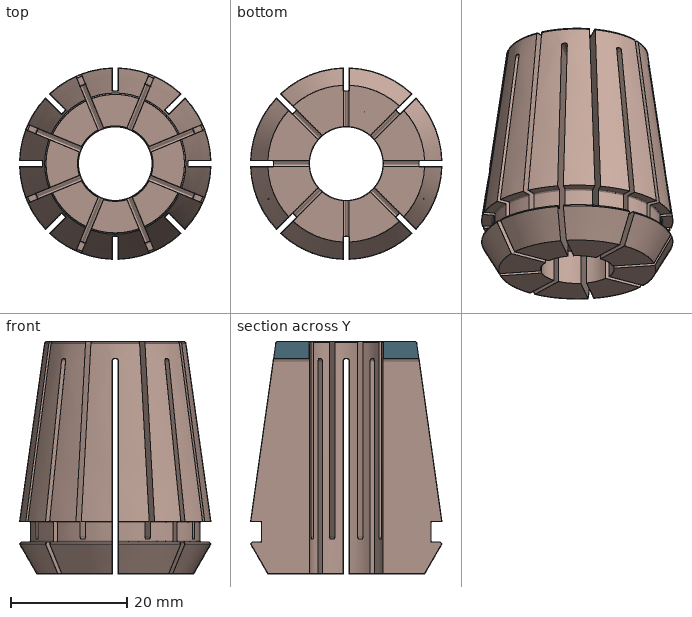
import cadquery as cq
import math

height = 40.0
outer_radius = 16.5
bore_radius = 12.7 / 2
bore_chamfer = 0.15

nose_angle = 30.0
nose_rim_height = 5.15
nose_top = 5.5
nose_rim_chamfer = nose_top - nose_rim_height
nose_bottom_radius = outer_radius - nose_rim_height * math.tan(math.radians(nose_angle))

groove_radius = 14.6
groove_root_fillet = 0.15
groove_top = 9.0
taper_angle = 8.0
taper_slope = math.tan(math.radians(taper_angle))
top_chamfer = 0.25

slots_per_end = 8
slot_width = 1.0
slot_corner_radius = 0.4
lower_slot_end = 37.05
upper_slot_end = 5.95
slot_pitch = 360.0 / slots_per_end
slot_overrun = 2.0
slot_reach = outer_radius + slot_overrun


def make_body():
    """Revolved solid: bore, nose cone, filleted clamping groove and taper."""
    root_outer_radius = groove_radius + groove_root_fillet
    chamfer_bottom = height - top_chamfer
    chamfer_bottom_radius = outer_radius - (chamfer_bottom - groove_top) * taper_slope
    profile = (
        cq.Workplane("XZ")
        .moveTo(bore_radius, 0)
        .lineTo(nose_bottom_radius, 0)
        .lineTo(outer_radius, nose_rim_height)
        .lineTo(outer_radius - nose_rim_chamfer, nose_top)
        .lineTo(root_outer_radius, nose_top)
        .radiusArc((groove_radius, nose_top + groove_root_fillet), groove_root_fillet)
        .lineTo(groove_radius, groove_top - groove_root_fillet)
        .radiusArc((root_outer_radius, groove_top), groove_root_fillet)
        .lineTo(outer_radius, groove_top)
        .lineTo(chamfer_bottom_radius, chamfer_bottom)
        .lineTo(chamfer_bottom_radius - top_chamfer, height)
        .lineTo(bore_radius + bore_chamfer, height)
        .lineTo(bore_radius, height - bore_chamfer)
        .close()
    )
    return profile.revolve(360, (0, 0, 0), (0, 1, 0))


def make_slot(closed_end, open_end, angle):
    """Radial slot, rounded at its closed end, running from the axis outwards at the given angle."""
    slot_length = abs(open_end - closed_end)
    return (
        cq.Workplane("XY")
        .box(slot_reach, slot_width, slot_length, centered=(False, True, False))
        .translate((0, 0, min(open_end, closed_end)))
        .edges("|X")
        .edges(">Z" if closed_end > open_end else "<Z")
        .fillet(slot_corner_radius)
        .rotate((0, 0, 0), (0, 0, 1), angle)
    )


result = make_body()
for index in range(slots_per_end):
    lower_angle = index * slot_pitch
    upper_angle = lower_angle + slot_pitch / 2
    result = result.cut(make_slot(lower_slot_end, -slot_overrun, lower_angle))
    result = result.cut(make_slot(upper_slot_end, height + slot_overrun, upper_angle))